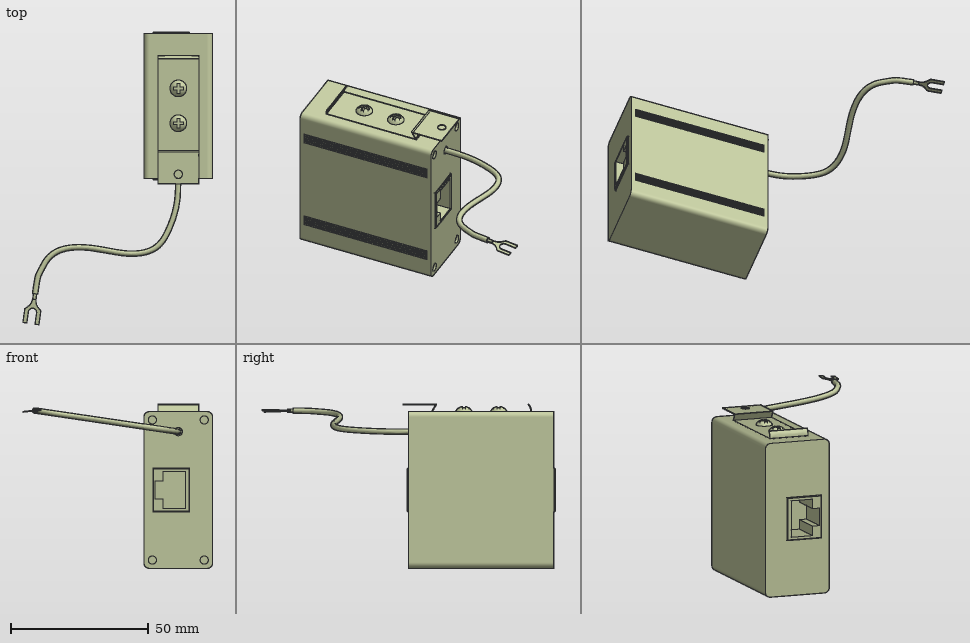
import math

import cadquery as cq

housing_width = 25.1
housing_depth = 53.0
housing_height = 57.2
edge_radius = 2.0
half_width = housing_width / 2
mid_height = housing_height / 2

corner_hole_inset = 3.1
front_hole_diameter = 3.0
front_hole_depth = 1.0

groove_width = 0.6
groove_pitch = 1.1
groove_depth = 0.1
groove_end_margin = 1.6
grooves_per_band = 4
band_offset = 18.6

jack_width = 13.5
jack_height = 16.0
jack_left = -9.3
jack_length = 16.0
jack_protrusion = 0.5
jack_chamfer = 0.3
socket_depth = 12.8
socket_left = -5.7
socket_right = 2.6
socket_height = 13.6
latch_left = -8.4
latch_height = 6.5

clip_width = 14.9
clip_thickness = 0.3
clip_top = 59.9
clip_tip_y = -1.9
clip_bend_y = 10.0
clip_foot_y = 8.5
clip_heel_y = 44.6
clip_curl_mid = (44.4, 58.6)
clip_curl_end = (43.7, 59.8)
clip_hole_y = 1.6
clip_hole_diameter = 3.0

screw_positions_y = (20.2, 32.9)
screw_diameter = 6.1
screw_head_height = 1.9
cross_length = 3.6
cross_width = 1.1
cross_depth = 1.3

cable_diameter = 2.0
cable_drop = 7.4
cable_tilt = 8.4
cable_run = 52.7
cable_reach = 42.0
cable_end_angle = 8.0
cable_bends = [
    (1.0, 11.1),
    (3.3, 18.0),
    (8.1, 25.0),
    (16.1, 27.3),
    (26.4, 26.2),
    (36.4, 25.0),
    (43.8, 26.2),
    (48.4, 29.6),
    (50.7, 33.6),
]
cable_start_z = housing_height - cable_drop
tilt = math.radians(cable_tilt)

barrel_diameter = 1.3
barrel_length = 2.0
barrel_overlap = 1.1
fork_length = 11.0
fork_neck_points = [(1.0, 3.6), (1.6, 4.6)]
fork_shoulder = 5.9
fork_width = 6.0
fork_slot_width = 3.0
fork_slot_start = 5.3
fork_thickness = 0.3
fork_roll = 6.0


def box(x_range, y_range, z_range):
    """Box between the given limits along each axis."""
    size = [high - low for low, high in (x_range, y_range, z_range)]
    corner = (x_range[0], y_range[0], z_range[0])
    return cq.Workplane("XY").box(*size, centered=False).translate(corner)


def mirrored_to_rear(body):
    """Copy of a front-end shape at the rear end of the housing."""
    return body.mirror("XZ", (0, housing_depth / 2, 0))


def make_jack():
    """Front jack with a stepped socket for the plug and its latch."""
    jack = box(
        (jack_left, jack_left + jack_width),
        (-jack_protrusion, jack_length - jack_protrusion),
        (mid_height - jack_height / 2, mid_height + jack_height / 2),
    )
    jack = jack.faces("<Y").chamfer(jack_chamfer)
    socket_y = (-jack_protrusion, socket_depth - jack_protrusion)
    plug_space = box(
        (socket_left, socket_right),
        socket_y,
        (mid_height - socket_height / 2, mid_height + socket_height / 2),
    )
    latch_space = box(
        (latch_left, socket_left),
        socket_y,
        (mid_height - latch_height / 2, mid_height + latch_height / 2),
    )
    return jack.cut(plug_space).cut(latch_space)


def make_jack_recess():
    """Space in the housing that a front jack fills."""
    return box(
        (jack_left, jack_left + jack_width),
        (0, jack_length - jack_protrusion),
        (mid_height - jack_height / 2, mid_height + jack_height / 2),
    )


def make_clip():
    """Bent strip: forward tongue, sloping front leg, flat base and curled heel."""
    tongue_z = clip_top - clip_thickness / 2
    base_z = housing_height - clip_thickness / 2
    centreline = (
        cq.Workplane("YZ")
        .moveTo(clip_tip_y, tongue_z)
        .lineTo(clip_bend_y, tongue_z)
        .lineTo(clip_foot_y, base_z)
        .lineTo(clip_heel_y, base_z)
        .threePointArc(clip_curl_mid, clip_curl_end)
    )
    strip = (
        cq.Workplane("XZ", origin=(0, clip_tip_y, tongue_z))
        .rect(clip_width, clip_thickness)
        .sweep(centreline, transition="right")
    )
    hole = (
        cq.Workplane("XY", origin=(0, clip_hole_y, housing_height))
        .circle(clip_hole_diameter / 2)
        .extrude(clip_top - housing_height)
    )
    return strip.cut(hole)


def make_screw(y):
    """Domed screw head standing on the clip base."""
    radius = screw_diameter / 2
    dome_radius = (radius**2 + screw_head_height**2) / (2 * screw_head_height)
    ball_centre_z = housing_height + screw_head_height - dome_radius
    dome = cq.Workplane("XY").sphere(dome_radius).translate((0, y, ball_centre_z))
    above_base = (
        cq.Workplane("XY", origin=(0, y, housing_height)).circle(dome_radius).extrude(screw_head_height)
    )
    head = dome.intersect(above_base)
    slot_plane = cq.Workplane("XY", origin=(0, y, housing_height + screw_head_height))
    for slot_size in ((cross_length, cross_width), (cross_width, cross_length)):
        head = head.cut(slot_plane.rect(*slot_size).extrude(-cross_depth))
    return head


def make_wire():
    """Round cable from the floor of its hole out to the terminal."""
    end_angle = math.radians(cable_end_angle)
    path_plane = cq.Plane(
        origin=(0, 0, cable_start_z),
        xDir=(-math.cos(tilt), 0, math.sin(tilt)),
        normal=(math.sin(tilt), 0, math.cos(tilt)),
    )
    path = cq.Workplane(path_plane).spline(
        [(0, -front_hole_depth)] + cable_bends + [(cable_run, cable_reach)],
        tangents=[(0, 1), (math.sin(end_angle), math.cos(end_angle))],
    )
    return (
        cq.Workplane("XZ", origin=(0, front_hole_depth, cable_start_z))
        .circle(cable_diameter / 2)
        .sweep(path)
    )


def make_terminal():
    """Crimp barrel and flat fork, in a plane whose Y axis points along the terminal."""
    cable_end = (
        -cable_run * math.cos(tilt),
        -cable_reach,
        cable_start_z + cable_run * math.sin(tilt),
    )
    plane = cq.Plane(origin=cable_end, xDir=(1, 0, 0), normal=(0, 0, -1))
    plane = plane.rotated((0, fork_roll, cable_end_angle))

    barrel = (
        cq.Workplane(plane)
        .transformed(rotate=(-90, 0, 0))
        .workplane(offset=-barrel_overlap)
        .circle(barrel_diameter / 2)
        .extrude(barrel_overlap + barrel_length)
    )
    right_edge = [
        (barrel_diameter / 2, barrel_length - barrel_overlap),
        (barrel_diameter / 2, barrel_length),
        *fork_neck_points,
        (fork_width / 2, fork_shoulder),
        (fork_width / 2, fork_length),
    ]
    left_edge = [(-x, y) for x, y in reversed(right_edge)]
    blade = (
        cq.Workplane(plane)
        .polyline(right_edge + left_edge)
        .close()
        .extrude(fork_thickness / 2, both=True)
    )
    slot_radius = fork_slot_width / 2
    slot = (
        cq.Workplane(plane)
        .moveTo(-slot_radius, fork_length)
        .lineTo(-slot_radius, fork_slot_start + slot_radius)
        .threePointArc((0, fork_slot_start), (slot_radius, fork_slot_start + slot_radius))
        .lineTo(slot_radius, fork_length)
        .close()
        .extrude(fork_thickness, both=True)
    )
    return barrel.union(blade.cut(slot))


def make_cable():
    """Cable and terminal as one body."""
    return make_wire().union(make_terminal())


def make_front_holes():
    """Four corner holes and the cable hole."""
    hole_x = half_width - corner_hole_inset
    top_z = housing_height - corner_hole_inset
    centres = [(x, z) for x in (-hole_x, hole_x) for z in (corner_hole_inset, top_z)]
    centres.append((0, cable_start_z))
    return (
        cq.Workplane("XZ")
        .pushPoints(centres)
        .circle(front_hole_diameter / 2)
        .extrude(-front_hole_depth)
    )


def make_grooves():
    """Two bands of grooves, above and below the middle of the left side."""
    groove_y = (groove_end_margin, housing_depth - groove_end_margin)
    groove_x = (-half_width, -half_width + groove_depth)
    first_offset = -groove_pitch * (grooves_per_band - 1) / 2
    grooves = cq.Workplane("XY")
    for band_z in (mid_height - band_offset, mid_height + band_offset):
        for index in range(grooves_per_band):
            z = band_z + first_offset + index * groove_pitch
            grooves = grooves.add(box(groove_x, groove_y, (z - groove_width / 2, z + groove_width / 2)))
    return grooves.combine()


def make_housing(clip):
    """Rounded block with the grooves, holes and seats for the jacks and the clip."""
    block = box((-half_width, half_width), (0, housing_depth), (0, housing_height))
    block = block.edges("|Y").fillet(edge_radius)
    recess = make_jack_recess()
    block = block.cut(recess).cut(mirrored_to_rear(recess))
    return block.cut(make_front_holes()).cut(make_grooves()).cut(clip)


clip = make_clip()
housing = make_housing(clip)
front_jack = make_jack()
rear_jack = mirrored_to_rear(front_jack)
screws = [make_screw(y) for y in screw_positions_y]
cable = make_cable()

result = cq.Compound.makeCompound(
    [housing.val(), front_jack.val(), rear_jack.val(), clip.val(), cable.val()]
    + [screw.val() for screw in screws]
)